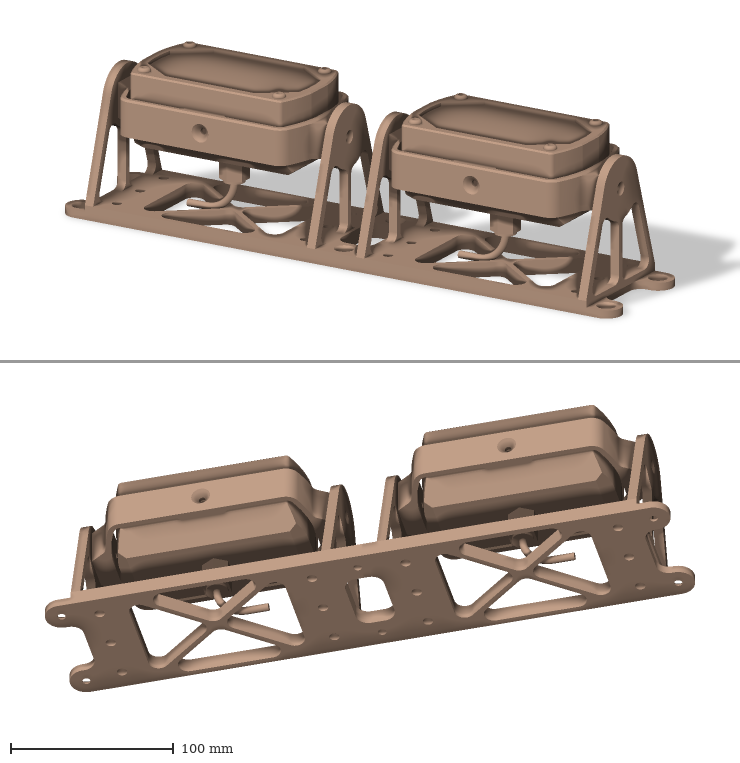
import cadquery as cq
import math

BASE_LENGTH = 395.5
BASE_WIDTH = 82.5
TOTAL_HEIGHT = 101.0
UNIT_OFFSET = 97.0

SLAB_THICKNESS = 5.0
FOOT_THICKNESS = 4.5
BASE_TOP = SLAB_THICKNESS + FOOT_THICKNESS
SLAB_HALF_LENGTH = 178.0
LUG_RADIUS = 10.3
LUG_FILLET = 8.0
MOUNT_HOLE = 5.0
MOUNT_SINK = 12.5
SINK_ANGLE = 90
SLOT_LENGTH = 42.0
SLOT_WIDTH = 24.5
SLOT_CORNER = 8.0
WINDOW_LENGTH = 99.0
WINDOW_WIDTH = 75.0
WINDOW_FILLET = 6.5
SPOKE_WIDTH = 3.5
SPOKE_SLOPE = 0.8

BRACKET_REACH = 82.2
WALL = 6.0
FOOT_LENGTH = 29.5
PIVOT_Z = 70.5
HUB_RADIUS = 20.5
BAR_WIDTH = 5.0
CENTRE_BAR = 4.0
BRACKET_FILLET = 5.0
PIVOT_HOLE = 4.0
PIVOT_SINK = 8.7
FOOT_HOLE = 6.5
FOOT_HOLE_X = 67.2
FOOT_HOLE_PITCH = 28.0

RING_BOTTOM = 58.5
RING_TOP = 82.5
RING_GAP = 2.8
RING_WALL = 3.5
PAD_OUTER_HALF = 16.0
PAD_INNER_HALF = 13.5
EAR_TIP_HALF = 11.5
EAR_ROOT_HALF = 19.8
EAR_FILLET = 6.0
RING_CHAMFER = 1.0
RING_HOLE = 4.0
RING_SINK = 12.0

CORNER_RADIUS = 2.8
BODY_INSET = 1.0
CORE_HALF_WIDTH = BASE_WIDTH / 2 - RING_WALL - RING_GAP - CORNER_RADIUS
CORE_SIDE_HALF = 51.8
CORE_END = 58.0
CORE_END_HALF = 9.5
END_BULGE = 1.0
BODY_BOTTOM = 46.5
SIDE_CHAMFER = (11.5, 13.5)
END_CHAMFER = (8.0, 5.5)
LID_BOTTOM = 71.0
LID_TOP = 98.5
LID_CHAMFER = 1.0
RECESS_DEPTH = 2.5
RECESS_HALF_WIDTH = 29.3
RECESS_SIDE_HALF = 32.0
RECESS_END = 55.5
RECESS_CORNER = (54.0, 13.5)
SCREW_X = 48.2
SCREW_Y = 27.3
SCREW_DIAMETER = 8.5
SCREW_ROUNDING = 2.0
SOCKET_DIAMETER = 3.5
SOCKET_DEPTH = 1.0

GLAND_ACROSS_CORNERS = 19.0
GLAND_BOTTOM = 29.3
COLLAR_DIAMETER = 14.0
COLLAR_BOTTOM = 27.3
CABLE_DIAMETER = 4.7
CABLE_BEND = 19.5
CABLE_END_X = -33.0


def block(x_min, x_max, width, z_min, z_max):
    """Box centred on Y between the given X and Z limits."""
    return (
        cq.Workplane("XY", origin=((x_min + x_max) / 2, 0, z_min))
        .rect(x_max - x_min, width)
        .extrude(z_max - z_min)
    )


def base_window(unit_x):
    """Four rounded triangular openings left between the two spokes."""
    opening = block(-WINDOW_LENGTH / 2, WINDOW_LENGTH / 2, WINDOW_WIDTH, 0, BASE_TOP)
    for side in (1, -1):
        spoke = (
            cq.Workplane("XY")
            .transformed(rotate=(0, 0, side * math.degrees(math.atan(SPOKE_SLOPE))))
            .rect(2 * WINDOW_LENGTH, SPOKE_WIDTH)
            .extrude(BASE_TOP)
        )
        opening = opening.cut(spoke)
    return opening.edges("|Z").fillet(WINDOW_FILLET).translate((unit_x, 0, 0))


def end_lugs(side):
    """Two rounded lugs at one end, blended into the end of the slab."""
    lug_x = BASE_LENGTH / 2 - LUG_RADIUS
    half_width = BASE_WIDTH / 2
    bay_half = half_width - 2 * LUG_RADIUS
    neck_length = lug_x - SLAB_HALF_LENGTH
    lugs = cq.Workplane("XY")
    for y_side in (1, -1):
        lug_y = y_side * (half_width - LUG_RADIUS)
        lug = cq.Workplane("XY").center(lug_x, lug_y).circle(LUG_RADIUS).extrude(SLAB_THICKNESS)
        neck = (
            cq.Workplane("XY")
            .center(SLAB_HALF_LENGTH + neck_length / 2, lug_y)
            .rect(neck_length, 2 * LUG_RADIUS)
            .extrude(SLAB_THICKNESS)
        )
        web = (
            cq.Workplane("XY")
            .moveTo(SLAB_HALF_LENGTH, y_side * bay_half)
            .lineTo(SLAB_HALF_LENGTH + LUG_FILLET, y_side * bay_half)
            .radiusArc((SLAB_HALF_LENGTH, y_side * (bay_half - LUG_FILLET)), -y_side * LUG_FILLET)
            .close()
            .extrude(SLAB_THICKNESS)
        )
        lugs = lugs.union(lug).union(neck).union(web)
    return lugs if side > 0 else lugs.mirror("YZ")


def make_base():
    base = block(-SLAB_HALF_LENGTH, SLAB_HALF_LENGTH, BASE_WIDTH, 0, SLAB_THICKNESS)
    middle_half = UNIT_OFFSET - BRACKET_REACH
    base = base.union(block(-middle_half, middle_half, BASE_WIDTH, 0, BASE_TOP))
    foot_end = BRACKET_REACH - FOOT_LENGTH
    for side in (-1, 1):
        unit_x = side * UNIT_OFFSET
        base = base.union(block(unit_x - foot_end, unit_x + foot_end, BASE_WIDTH, 0, BASE_TOP))
        base = base.union(end_lugs(side))
        base = base.cut(base_window(unit_x))
        for bracket_side in (-1, 1):
            base = base.cut(foot_holes(bracket_side).translate((unit_x, 0, 0)))

    slot = cq.Workplane("XY").rect(SLOT_WIDTH, SLOT_LENGTH).extrude(BASE_TOP).edges("|Z").fillet(SLOT_CORNER)
    base = base.cut(slot)

    lug_x = BASE_LENGTH / 2 - LUG_RADIUS
    mount_y = BASE_WIDTH / 2 - LUG_RADIUS
    for x, top in ((-lug_x, SLAB_THICKNESS), (0, BASE_TOP), (lug_x, SLAB_THICKNESS)):
        base = (
            base.copyWorkplane(cq.Workplane("XY", origin=(x, 0, top)))
            .pushPoints([(0, -mount_y), (0, mount_y)])
            .cskHole(MOUNT_HOLE, MOUNT_SINK, SINK_ANGLE)
        )
    return base


def foot_holes(side):
    """Three holes through a bracket foot and the slab below it."""
    return (
        cq.Workplane("XY")
        .pushPoints([(side * FOOT_HOLE_X, y) for y in (-FOOT_HOLE_PITCH, 0, FOOT_HOLE_PITCH)])
        .circle(FOOT_HOLE / 2)
        .extrude(BASE_TOP)
    )


def taper_angle():
    """Tilt from upright of the sloping sides, which are tangent to the hub circle."""
    across = BASE_WIDTH / 2
    down = PIVOT_Z - BASE_TOP
    return math.acos(HUB_RADIUS / math.hypot(across, down)) - math.atan2(down, across)


def bracket_windows(x_min):
    """Two openings beside the centre bar, closed at the top by the hub circle."""
    angle = taper_angle()

    def inner_edge(z):
        return (HUB_RADIUS - BAR_WIDTH + (PIVOT_Z - z) * math.sin(angle)) / math.cos(angle)

    windows = cq.Workplane("XY")
    for side in (-1, 1):
        window = (
            cq.Workplane("YZ", origin=(x_min, 0, 0))
            .polyline([
                (side * CENTRE_BAR / 2, BASE_TOP),
                (side * inner_edge(BASE_TOP), BASE_TOP),
                (side * inner_edge(PIVOT_Z), PIVOT_Z),
                (side * CENTRE_BAR / 2, PIVOT_Z),
            ])
            .close()
            .extrude(WALL)
        )
        hub = cq.Workplane("YZ", origin=(x_min, 0, PIVOT_Z)).circle(HUB_RADIUS).extrude(WALL)
        windows = windows.union(window.cut(hub).edges("|X").fillet(BRACKET_FILLET))
    return windows


def make_bracket(side):
    """Upright wall on the +X end of a unit, or its mirror image for the -X end."""
    x_min = BRACKET_REACH - WALL
    half = BASE_WIDTH / 2
    angle = taper_angle()
    tangent_y = HUB_RADIUS * math.cos(angle)
    tangent_z = PIVOT_Z + HUB_RADIUS * math.sin(angle)
    wall = (
        cq.Workplane("YZ", origin=(x_min, 0, 0))
        .moveTo(-half, SLAB_THICKNESS)
        .lineTo(half, SLAB_THICKNESS)
        .lineTo(half, BASE_TOP)
        .lineTo(tangent_y, tangent_z)
        .threePointArc((0, PIVOT_Z + HUB_RADIUS), (-tangent_y, tangent_z))
        .lineTo(-half, BASE_TOP)
        .close()
        .extrude(WALL)
    )
    wall = wall.cut(bracket_windows(x_min))
    pivot_face = cq.Workplane("YZ", origin=(BRACKET_REACH, 0, PIVOT_Z))
    wall = wall.copyWorkplane(pivot_face).cskHole(PIVOT_HOLE, PIVOT_SINK, SINK_ANGLE)
    foot = block(BRACKET_REACH - FOOT_LENGTH, BRACKET_REACH, BASE_WIDTH, SLAB_THICKNESS, BASE_TOP)
    bracket = wall.union(foot).cut(foot_holes(1))
    return bracket if side > 0 else bracket.mirror("YZ")


def rounded_outline(lid_offset, z_min, z_max):
    """Solid whose outline is the lid outline grown by lid_offset."""
    chord_x = CORE_END - CORE_SIDE_HALF
    chord_y = CORE_HALF_WIDTH - CORE_END_HALF
    chord = math.hypot(chord_x, chord_y)
    bulge_x = (CORE_END + CORE_SIDE_HALF) / 2 + END_BULGE * chord_y / chord
    bulge_y = (CORE_HALF_WIDTH + CORE_END_HALF) / 2 + END_BULGE * chord_x / chord
    return (
        cq.Workplane("XY", origin=(0, 0, z_min))
        .moveTo(-CORE_SIDE_HALF, -CORE_HALF_WIDTH)
        .lineTo(CORE_SIDE_HALF, -CORE_HALF_WIDTH)
        .threePointArc((bulge_x, -bulge_y), (CORE_END, -CORE_END_HALF))
        .lineTo(CORE_END, CORE_END_HALF)
        .threePointArc((bulge_x, bulge_y), (CORE_SIDE_HALF, CORE_HALF_WIDTH))
        .lineTo(-CORE_SIDE_HALF, CORE_HALF_WIDTH)
        .threePointArc((-bulge_x, bulge_y), (-CORE_END, CORE_END_HALF))
        .lineTo(-CORE_END, -CORE_END_HALF)
        .threePointArc((-bulge_x, -bulge_y), (-CORE_SIDE_HALF, -CORE_HALF_WIDTH))
        .close()
        .offset2D(CORNER_RADIUS + lid_offset)
        .extrude(z_max - z_min)
    )


def eared_blank():
    """Solid ring blank with an ear on each end, up to the foot of the ring's top chamfer."""
    ear_top = RING_TOP - RING_CHAMFER
    ear_tip = BRACKET_REACH - WALL
    ear_root = CORE_END + CORNER_RADIUS + RING_GAP
    blank = rounded_outline(RING_GAP + RING_WALL, RING_BOTTOM, ear_top)
    for side in (-1, 1):
        ear = (
            cq.Workplane("XY", origin=(0, 0, RING_BOTTOM))
            .polyline([
                (0, -EAR_ROOT_HALF),
                (side * ear_root, -EAR_ROOT_HALF),
                (side * ear_tip, -EAR_TIP_HALF),
                (side * ear_tip, EAR_TIP_HALF),
                (side * ear_root, EAR_ROOT_HALF),
                (0, EAR_ROOT_HALF),
            ])
            .close()
            .extrude(ear_top - RING_BOTTOM)
        )
        blank = blank.union(ear)

    corner_size = EAR_ROOT_HALF - EAR_TIP_HALF
    for side in (-1, 1):
        for y in (-EAR_ROOT_HALF, EAR_ROOT_HALF):
            joint = cq.selectors.BoxSelector(
                (side * ear_root, y - corner_size / 2, 0),
                (side * (ear_root + RING_WALL), y + corner_size / 2, TOTAL_HEIGHT),
            )
            blank = blank.edges("|Z").edges(joint).fillet(EAR_FILLET)
    return blank


def make_ring():
    height = RING_TOP - RING_BOTTOM
    ear_tip = BRACKET_REACH - WALL
    ring = rounded_outline(RING_GAP + RING_WALL, RING_BOTTOM, RING_TOP)
    ring = ring.faces(">Z").edges().chamfer(RING_CHAMFER).union(eared_blank())
    ring = ring.cut(rounded_outline(RING_GAP, RING_BOTTOM, RING_TOP))

    pad_outer_y = CORE_HALF_WIDTH + CORNER_RADIUS + RING_GAP
    pad_inner_y = CORE_HALF_WIDTH + CORNER_RADIUS
    for side in (-1, 1):
        pad = (
            cq.Workplane("XY", origin=(0, 0, RING_BOTTOM))
            .polyline([
                (-PAD_OUTER_HALF, side * pad_outer_y),
                (PAD_OUTER_HALF, side * pad_outer_y),
                (PAD_INNER_HALF, side * pad_inner_y),
                (-PAD_INNER_HALF, side * pad_inner_y),
            ])
            .close()
            .extrude(height)
        )
        ring = ring.union(pad)

    pad_depth = BASE_WIDTH / 2 - pad_inner_y
    for side in (-1, 1):
        pad_face = cq.Plane((0, side * BASE_WIDTH / 2, PIVOT_Z), xDir=(1, 0, 0), normal=(0, side, 0))
        ear_face = cq.Plane((side * ear_tip, 0, PIVOT_Z), xDir=(0, 1, 0), normal=(side, 0, 0))
        ring = ring.copyWorkplane(cq.Workplane(pad_face)).cskHole(RING_HOLE, RING_SINK, SINK_ANGLE, pad_depth)
        ring = ring.copyWorkplane(cq.Workplane(ear_face)).hole(PIVOT_HOLE, ear_tip - CORE_END)
    return ring


def wedge(plane, half, chamfer, side):
    """Prism that bevels one bottom edge; half is the distance to the upright face."""
    inward, upward = chamfer
    return (
        cq.Workplane(plane)
        .polyline([
            (side * half, BODY_BOTTOM),
            (side * (half - inward), BODY_BOTTOM),
            (side * half, BODY_BOTTOM + upward),
        ])
        .close()
        .extrude(BASE_LENGTH / 2, both=True)
    )


def make_body():
    body = rounded_outline(-BODY_INSET, BODY_BOTTOM, LID_BOTTOM)
    half_width = CORE_HALF_WIDTH + CORNER_RADIUS - BODY_INSET
    half_length = CORE_END + CORNER_RADIUS - BODY_INSET
    for side in (-1, 1):
        body = body.cut(wedge("YZ", half_width, SIDE_CHAMFER, side))
        body = body.cut(wedge("XZ", half_length, END_CHAMFER, side))
    return body


def make_lid():
    lid = rounded_outline(0, LID_BOTTOM, LID_TOP).faces(">Z").edges().chamfer(LID_CHAMFER)
    corner_x, corner_y = RECESS_CORNER
    recess = (
        cq.Workplane("XY", origin=(0, 0, LID_TOP - RECESS_DEPTH))
        .moveTo(-RECESS_SIDE_HALF, -RECESS_HALF_WIDTH)
        .lineTo(RECESS_SIDE_HALF, -RECESS_HALF_WIDTH)
        .lineTo(corner_x, -corner_y)
        .threePointArc((RECESS_END, 0), (corner_x, corner_y))
        .lineTo(RECESS_SIDE_HALF, RECESS_HALF_WIDTH)
        .lineTo(-RECESS_SIDE_HALF, RECESS_HALF_WIDTH)
        .lineTo(-corner_x, corner_y)
        .threePointArc((-RECESS_END, 0), (-corner_x, -corner_y))
        .close()
        .extrude(RECESS_DEPTH)
    )
    screws = (
        cq.Workplane("XY", origin=(0, 0, LID_TOP))
        .rect(2 * SCREW_X, 2 * SCREW_Y, forConstruction=True)
        .vertices()
        .circle(SCREW_DIAMETER / 2)
        .extrude(TOTAL_HEIGHT - LID_TOP)
        .faces(">Z")
        .edges()
        .fillet(SCREW_ROUNDING)
    )
    sockets = (
        cq.Workplane("XY", origin=(0, 0, TOTAL_HEIGHT - SOCKET_DEPTH))
        .rect(2 * SCREW_X, 2 * SCREW_Y, forConstruction=True)
        .vertices()
        .circle(SOCKET_DIAMETER / 2)
        .extrude(SOCKET_DEPTH)
    )
    return lid.cut(recess).union(screws).cut(sockets)


def make_gland_and_cable():
    gland = (
        cq.Workplane("XY", origin=(0, 0, GLAND_BOTTOM))
        .transformed(rotate=(0, 0, 90))
        .polygon(6, GLAND_ACROSS_CORNERS)
        .extrude(BODY_BOTTOM - GLAND_BOTTOM)
    )
    collar = (
        cq.Workplane("XY", origin=(0, 0, COLLAR_BOTTOM))
        .circle(COLLAR_DIAMETER / 2)
        .extrude(GLAND_BOTTOM - COLLAR_BOTTOM)
    )
    cable_z = COLLAR_BOTTOM - CABLE_BEND
    path = (
        cq.Workplane("XZ")
        .moveTo(0, COLLAR_BOTTOM)
        .radiusArc((-CABLE_BEND, cable_z), CABLE_BEND)
        .lineTo(CABLE_END_X, cable_z)
    )
    cable = cq.Workplane("XY", origin=(0, 0, COLLAR_BOTTOM)).circle(CABLE_DIAMETER / 2).sweep(path)
    return gland.union(collar).union(cable)


def make_housing():
    return make_body().union(make_lid()).union(make_gland_and_cable())


bodies = [make_base().val()]
for unit_x in (-UNIT_OFFSET, UNIT_OFFSET):
    place = (unit_x, 0, 0)
    for bracket_side in (-1, 1):
        bodies.append(make_bracket(bracket_side).translate(place).val())
    bodies.append(make_ring().translate(place).val())
    bodies.append(make_housing().translate(place).val())

result = cq.Compound.makeCompound(bodies)